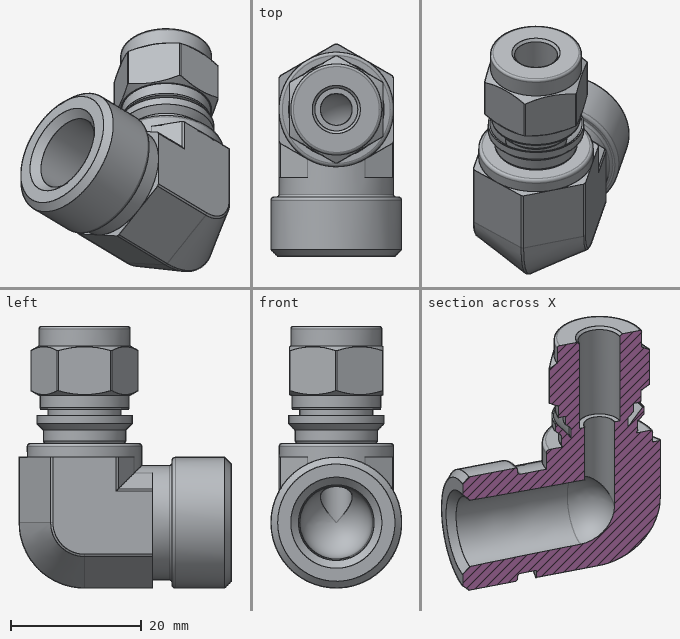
import cadquery as cq
import math


body_flats = 17.5
corner_diameter = 20.0
tube_limb_length = 10.0
socket_limb_length = 10.4
collar_top = 12.1
collar_rounding = 0.5

tube_end = 29.98
groove_diameter = 12.2
stem_diameter = 12.6
stem_bottom = 12.47
cone_bottom = 14.1
flange_diameter = 14.6
flange_bottom = 15.1
flange_top = 16.4
cup_diameter = 14.05
cup_bottom = 13.45
foot_diameter = 9.4
neck_diameter = 11.2
neck_bottom = 15.9
skirt_diameter = 13.6
skirt_bottom = 17.3
skirt_chamfer_height = 0.25
skirt_chamfer_width = 0.08
nut_flats = 14.3
nut_corner_diameter = 16.4
nut_bottom = 19.43
nut_top = 26.98
nut_chamfer_angle = 30.0
ring_diameter = 13.9
ring_rounding = 0.4

socket_end = 22.42
head_diameter = 20.0
head_start = 13.35
root_rounding = 0.4
head_rounding = 0.5
head_chamfer = 1.05

through_diameter = 4.85
tube_diameter = 6.55
tube_depth = 15.2
tube_chamfer = 0.4
bore_diameter = 11.1
bore_mouth_diameter = 11.55
countersink_diameter = 13.9

hexagon_half_angle = 30.0
body_radius = body_flats / 2
corner_radius = corner_diameter / 2
bore_radius = bore_diameter / 2


def hexagon_corner(flats):
    """Distance from the centre of a hexagon to its corners."""
    return flats / math.sqrt(3)


def cylinder(diameter, bottom, top):
    return cq.Workplane("XY").workplane(offset=bottom).circle(diameter / 2).extrude(top - bottom)


def hexagonal_prism(flats, bottom, top):
    """Upright hexagonal prism with two corners on the Y axis."""
    base = cq.Workplane("XY").workplane(offset=bottom).transformed(rotate=(0, 0, 90))
    return base.polygon(6, 2 * hexagon_corner(flats)).extrude(top - bottom)


def turned(profile):
    """Revolve a (radius, height) outline about the Z axis."""
    return cq.Workplane("XZ").polyline(profile).close().revolve(360, (0, 0), (0, 1))


def to_socket_side(shape):
    """Turn a shape built along +Z so that it points along -Y, its -Y side facing +Z."""
    return shape.rotate((0, 0, 0), (0, -1, 1), 180)


def elbow_limb(length):
    """Hexagonal limb whose inner (-Y) corner gives way to the inscribed cylinder."""
    limb = hexagonal_prism(body_flats, 0, length).intersect(cylinder(corner_diameter, 0, length))
    tangent_line = body_radius * math.cos(math.radians(hexagon_half_angle))
    inner_corner = cq.Workplane("XY").box(body_flats, corner_radius, length, centered=(True, False, False))
    inner_corner = inner_corner.translate((0, -tangent_line - corner_radius, 0))
    return limb.cut(inner_corner).union(cylinder(body_flats, 0, length))


def outer_bend():
    """Half of the hexagon swept a quarter turn about X, from the +Y side to the -Z side."""
    side_corner = hexagon_corner(body_flats) / 2
    half_hexagon = [
        (-body_radius, 0),
        (-body_radius, side_corner),
        (0, hexagon_corner(body_flats)),
        (body_radius, side_corner),
        (body_radius, 0),
    ]
    bend = cq.Workplane("XY").polyline(half_hexagon).close().revolve(90, (0, 0), (-1, 0))
    return bend.intersect(cq.Workplane("XY").sphere(corner_radius))


def tube_stem():
    """Turned stem between the collar and the nut, with a conical cup sunk into its flange."""
    groove_radius = groove_diameter / 2
    stem_radius = stem_diameter / 2
    flange_radius = flange_diameter / 2
    neck_radius = neck_diameter / 2
    foot_radius = foot_diameter / 2
    skirt_radius = skirt_diameter / 2
    return turned([
        (0, 0),
        (groove_radius, 0),
        (groove_radius, collar_top),
        (stem_radius, stem_bottom),
        (stem_radius, cone_bottom),
        (flange_radius, flange_bottom),
        (flange_radius, flange_top),
        (cup_diameter / 2, flange_top),
        (foot_radius, cup_bottom),
        (foot_radius, neck_bottom - (neck_radius - foot_radius)),
        (neck_radius, neck_bottom),
        (neck_radius, skirt_bottom),
        (skirt_radius - skirt_chamfer_width, skirt_bottom),
        (skirt_radius, skirt_bottom + skirt_chamfer_height),
        (skirt_radius, nut_bottom),
        (0, nut_bottom),
    ])


def nut():
    """Hexagon nut with conically chamfered corners and a round ring on top."""
    face_radius = ring_diameter / 2
    edge_radius = nut_corner_diameter / 2
    chamfer_drop = (edge_radius - face_radius) * math.tan(math.radians(nut_chamfer_angle))
    envelope = turned([
        (0, nut_bottom),
        (face_radius, nut_bottom),
        (edge_radius, nut_bottom + chamfer_drop),
        (edge_radius, nut_top - chamfer_drop),
        (face_radius, nut_top),
        (0, nut_top),
    ])
    ring = cylinder(ring_diameter, nut_top, tube_end).faces(">Z").edges().fillet(ring_rounding)
    return hexagonal_prism(nut_flats, nut_bottom, nut_top).intersect(envelope).union(ring)


def socket_head():
    """Round shoulder and chamfered head of the socket, with a rounded root between them."""
    head_radius = head_diameter / 2
    diagonal = math.sqrt(0.5)
    root_arc = (
        body_radius + root_rounding * (1 - diagonal),
        head_start - root_rounding * (1 - diagonal),
    )
    head_arc = (
        head_radius - head_rounding * (1 - diagonal),
        head_start + head_rounding * (1 - diagonal),
    )
    return (
        cq.Workplane("XZ")
        .lineTo(body_radius, 0)
        .lineTo(body_radius, head_start - root_rounding)
        .threePointArc(root_arc, (body_radius + root_rounding, head_start))
        .lineTo(head_radius - head_rounding, head_start)
        .threePointArc(head_arc, (head_radius, head_start + head_rounding))
        .lineTo(head_radius, socket_end - head_chamfer)
        .lineTo(head_radius - head_chamfer, socket_end)
        .lineTo(0, socket_end)
        .close()
        .revolve(360, (0, 0), (0, 1))
    )


def tube_passage():
    """Narrow hole from the elbow centre, opening into the chamfered seat for the tube."""
    through_radius = through_diameter / 2
    tube_radius = tube_diameter / 2
    return turned([
        (0, 0),
        (through_radius, 0),
        (through_radius, tube_end - tube_depth),
        (tube_radius, tube_end - tube_depth),
        (tube_radius, tube_end - tube_chamfer),
        (tube_radius + tube_chamfer, tube_end),
        (0, tube_end),
    ])


def socket_bore():
    """Bore with a domed bottom that just reaches the far wall of the tube passage."""
    dome_centre = bore_radius - through_diameter / 2
    mouth_radius = bore_mouth_diameter / 2
    countersink_radius = countersink_diameter / 2
    countersink_bottom = socket_end - (countersink_radius - mouth_radius)
    bore = turned([
        (0, dome_centre),
        (bore_radius, dome_centre),
        (mouth_radius, countersink_bottom),
        (countersink_radius, socket_end),
        (0, socket_end),
    ])
    dome = cq.Workplane("XY").sphere(bore_radius).translate((0, 0, dome_centre))
    return bore.union(dome)


collar = cylinder(body_flats, 0, collar_top).faces(">Z").edges().fillet(collar_rounding)

result = (
    elbow_limb(tube_limb_length)
    .union(to_socket_side(elbow_limb(socket_limb_length)))
    .union(outer_bend())
    .union(collar)
    .union(to_socket_side(socket_head()))
    .union(tube_stem())
    .union(nut())
    .cut(to_socket_side(socket_bore()))
    .cut(tube_passage())
)